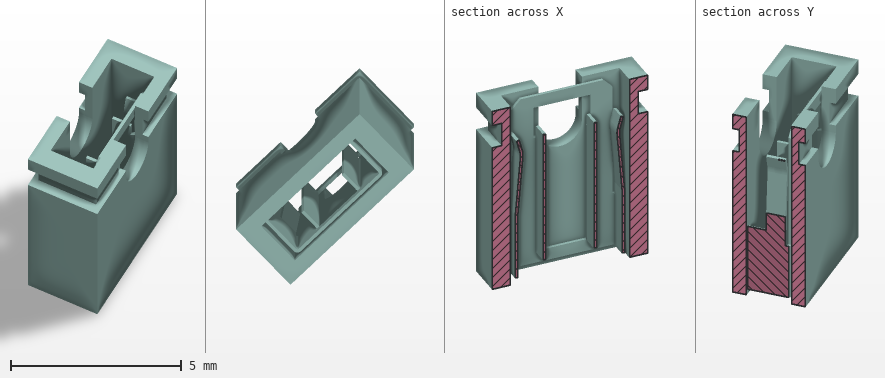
import cadquery as cq
import math


HOUSING_X = 2.3
HOUSING_Y = 5.0
HOUSING_Z = 6.1
CAVITY_X = 1.415
CAVITY_Y = 3.805
HEAD_HEIGHT = 0.5
NECK_HEIGHT = 0.745
NECK_INSET_X = 0.2
NECK_INSET_Y = 0.3
NOTCH_WIDTH = 1.395
NOTCH_DEPTH = 2.2

SHEET = 0.1
BEND_INNER = 0.05
BEND_OUTER = BEND_INNER + SHEET
BEND_RELIEF = 0.4
CONTACT_Y = 3.525
CONTACT_BACK_X = 0.665
CONTACT_FRONT_X = -0.685
CONTACT_BOTTOM = 0.2
BEND_START_X = CONTACT_BACK_X - BEND_OUTER

PLATE_DROP = 0.195
PLATE_TOP = HOUSING_Z - PLATE_DROP
PLATE_HALF_Y = CONTACT_Y / 2 - BEND_OUTER
PLATE_CHAMFER = 0.29
BAR_HEIGHT = 0.395
WINDOW_BOTTOM = CONTACT_BOTTOM + BAR_HEIGHT
WINDOW_TOP = PLATE_TOP - BAR_HEIGHT

BLADE_FRONT_X = -0.09
BLADE_TOP = 4.905

TAB_GAP = 1.54
WINDOW_Y = TAB_GAP + 2 * BEND_OUTER

SPRING_GAP = 3.0
CREST_Z = 4.355
CREST_RADIUS = 0.61
TIP_ANGLE = math.radians(15.3)
LEAN_ANGLE = math.radians(4.8)
CREST_CENTRE_Y = SPRING_GAP / 2 + CREST_RADIUS

SIDE_INNER_Y = CONTACT_Y / 2 - SHEET
LEAN_END_Y = CREST_CENTRE_Y - CREST_RADIUS * math.cos(LEAN_ANGLE)
LEAN_END_Z = CREST_Z - CREST_RADIUS * math.sin(LEAN_ANGLE)
SIDE_TOP = LEAN_END_Z - (SIDE_INNER_Y - LEAN_END_Y) / math.tan(LEAN_ANGLE)


def block(size_x, size_y, z_low, z_high):
    """Box centred on the Z axis, between two heights."""
    return cq.Workplane("XY", origin=(0, 0, z_low)).rect(size_x, size_y).extrude(z_high - z_low)


def make_housing():
    head_bottom = HOUSING_Z - HEAD_HEIGHT
    neck_bottom = head_bottom - NECK_HEIGHT
    neck_x = HOUSING_X - 2 * NECK_INSET_X
    neck_y = HOUSING_Y - 2 * NECK_INSET_Y
    body = block(HOUSING_X, HOUSING_Y, 0, neck_bottom)
    body = body.union(block(neck_x, neck_y, neck_bottom, head_bottom))
    body = body.union(block(HOUSING_X, HOUSING_Y, head_bottom, HOUSING_Z))

    cavity = block(CAVITY_X, CAVITY_Y, 0, HOUSING_Z)
    return body.cut(cavity).cut(make_notch())


def make_notch():
    """Round-bottomed notch through both broad walls."""
    radius = NOTCH_WIDTH / 2
    bottom = HOUSING_Z - NOTCH_DEPTH
    return (
        cq.Workplane("YZ", origin=(-HOUSING_X / 2, 0, 0))
        .moveTo(-radius, HOUSING_Z)
        .lineTo(-radius, bottom + radius)
        .threePointArc((0, bottom), (radius, bottom + radius))
        .lineTo(radius, HOUSING_Z)
        .close()
        .extrude(HOUSING_X)
    )


def make_back_plate():
    plate = block(SHEET, 2 * PLATE_HALF_Y, CONTACT_BOTTOM, PLATE_TOP)
    plate = plate.edges("|X and >Z").chamfer(PLATE_CHAMFER)
    plate = plate.cut(block(SHEET, WINDOW_Y, WINDOW_BOTTOM, WINDOW_TOP))
    return plate.translate((CONTACT_BACK_X - SHEET / 2, 0, 0))


def make_folded_leaf(outer_y, bend_side, front_x, z_low, z_high):
    """Leaf parallel to XZ with the quarter bend that joins it to the back plate.

    outer_y is the face on the outside of the bend; bend_side (+1 or -1) is the
    Y direction from that face towards the plate. The bend stops short of the leaf's top.
    """
    inner_y = outer_y + bend_side * SHEET
    plate_y = outer_y + bend_side * BEND_OUTER
    leaf = (
        cq.Workplane("XY", origin=(0, 0, z_low))
        .moveTo(front_x, outer_y)
        .lineTo(BEND_START_X, outer_y)
        .lineTo(BEND_START_X, inner_y)
        .lineTo(front_x, inner_y)
        .close()
        .extrude(z_high - z_low)
    )

    def arc_middle(radius):
        offset = radius * math.sqrt(0.5)
        return (BEND_START_X + offset, plate_y - bend_side * offset)

    bend = (
        cq.Workplane("XY", origin=(0, 0, z_low))
        .moveTo(BEND_START_X, outer_y)
        .threePointArc(arc_middle(BEND_OUTER), (CONTACT_BACK_X, plate_y))
        .lineTo(CONTACT_BACK_X - SHEET, plate_y)
        .threePointArc(arc_middle(BEND_INNER), (BEND_START_X, inner_y))
        .close()
        .extrude(z_high - BEND_RELIEF - z_low)
    )
    return leaf.union(bend)


def crest_point(angle, depth):
    """Point on a spring's crest arc, at a depth into the sheet from its inner face."""
    radius = CREST_RADIUS - depth
    return (CREST_CENTRE_Y - radius * math.cos(angle), CREST_Z + radius * math.sin(angle))


def tip_point(depth):
    """Corner at the free end of a spring; the inner corner reaches BLADE_TOP."""
    rise = BLADE_TOP - crest_point(TIP_ANGLE, 0)[1]
    y, z = crest_point(TIP_ANGLE, depth)
    return (y + rise * math.tan(TIP_ANGLE), z + rise)


def make_spring():
    """Spring on the +Y side: leans inward, rolls over a crest and leans back out at the tip."""
    return (
        cq.Workplane("YZ", origin=(BLADE_FRONT_X, 0, 0))
        .moveTo(SIDE_INNER_Y, SIDE_TOP)
        .lineTo(*crest_point(-LEAN_ANGLE, 0))
        .threePointArc(crest_point(0, 0), crest_point(TIP_ANGLE, 0))
        .lineTo(*tip_point(0))
        .lineTo(*tip_point(SHEET))
        .lineTo(*crest_point(TIP_ANGLE, SHEET))
        .threePointArc(crest_point(0, SHEET), crest_point(-LEAN_ANGLE, SHEET))
        .lineTo(SIDE_INNER_Y + SHEET, SIDE_TOP)
        .close()
        .extrude(BEND_START_X - BLADE_FRONT_X)
    )


def make_contact():
    contact = make_back_plate()
    spring = make_spring()
    for side in (1, -1):
        side_wall = make_folded_leaf(
            side * CONTACT_Y / 2, -side, CONTACT_FRONT_X, CONTACT_BOTTOM, SIDE_TOP
        )
        tab = make_folded_leaf(side * TAB_GAP / 2, side, BLADE_FRONT_X, WINDOW_BOTTOM, BLADE_TOP)
        placed_spring = spring if side > 0 else spring.mirror("XZ")
        contact = contact.union(side_wall).union(tab).union(placed_spring)
    return contact


housing = make_housing()
contact = make_contact()

result = cq.Compound.makeCompound([housing.val(), contact.val()])